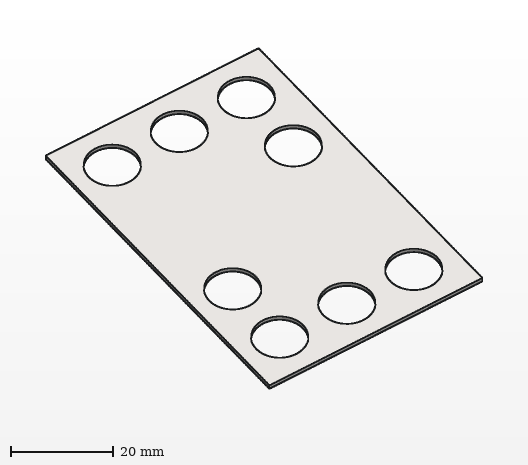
import cadquery as cq

length = 76.2
width = 50.8
thickness = 1.0

hole_diameter = 11.2
hole_pitch = 16.0
column_x = 28.5
middle_row_y = -0.2

top_row_y = middle_row_y + hole_pitch
bottom_row_y = middle_row_y - hole_pitch

end_holes = [
    (x, y)
    for x in (-column_x, column_x)
    for y in (bottom_row_y, middle_row_y, top_row_y)
]

inner_x = column_x - hole_pitch
inner_holes = [(-inner_x, top_row_y), (inner_x, bottom_row_y)]

plate = cq.Workplane("XY").box(length, width, thickness)
result = plate.faces(">Z").workplane().pushPoints(end_holes + inner_holes).hole(hole_diameter)